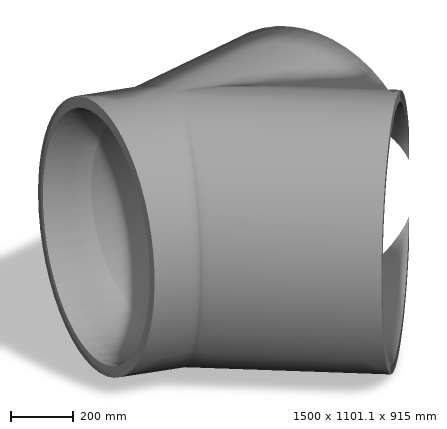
import cadquery as cq
import math

overall_width = 1500.0
outer_diameter = 915.0
inner_diameter = 840.0
inlet_length = 284.0
branch_angle = 30.0

outer_radius = outer_diameter / 2
inner_radius = inner_diameter / 2
tilt = math.radians(branch_angle)
miter_slope = math.tan(tilt / 2)
end_slope = math.tan(tilt)

branch_length = (overall_width / 2 - outer_radius * math.cos(tilt)) / math.sin(tilt)
peak_y = inlet_length + branch_length / math.cos(tilt)
trim_reach = 0.6 * overall_width


def tube(direction):
    """Long pipe along a direction, centred on the axes' meeting point."""
    pipe_length = 4 * overall_width
    plane = cq.Plane(origin=(0, inlet_length, 0), xDir=(0, 0, 1), normal=direction)
    return (
        cq.Workplane(plane)
        .circle(outer_radius)
        .circle(inner_radius)
        .extrude(pipe_length / 2, both=True)
    )


def trim_block(points):
    """Block over an XY outline, taller than the pipes."""
    return cq.Workplane("XY").polyline(points).close().extrude(outer_diameter, both=True)


miter_center = (0, inlet_length)
miter_side = (-trim_reach, inlet_length - trim_reach * miter_slope)
inlet_outline = [(0, 0), (-trim_reach, 0), miter_side, miter_center]
branch_outline = [
    miter_center,
    miter_side,
    (-trim_reach, peak_y - trim_reach * end_slope),
    (0, peak_y),
]
inlet = tube((0, 1, 0)).intersect(trim_block(inlet_outline))
branch = tube((-math.sin(tilt), math.cos(tilt), 0)).intersect(trim_block(branch_outline))
left_half = inlet.union(branch)

result = left_half.union(left_half.mirror("YZ")).clean()